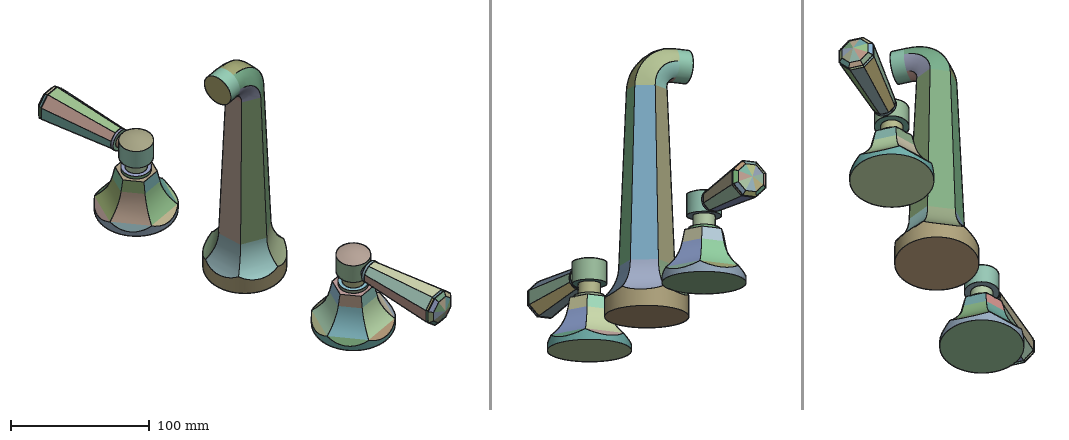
import cadquery as cq
import math

HANDLE_OFFSET = 100.0
OVERALL_LENGTH = 370.5
FOOT_RADIUS = 30.5
HEX_COS = math.cos(math.radians(30))

SPOUT_HEIGHT = 202.7
NOZZLE_RADIUS = 12.2
NOZZLE_REACH = 31.5
BEND_RADIUS = 20.8
NECK_CORNER_RADIUS = 15.0
COLUMN_CORNER_RADIUS = 20.5
COLUMN_FOOT_Z = 37.8
SPOUT_FLARE_RADIUS = 32.0
SPOUT_FLARE_ANGLE = 56
NOZZLE_AXIS_Z = SPOUT_HEIGHT - NOZZLE_RADIUS
COLUMN_TOP_Z = NOZZLE_AXIS_Z - BEND_RADIUS

PEDESTAL_HEIGHT = 38.0
PEDESTAL_TOP_APOTHEM = 13.5
PEDESTAL_WAIST_Z = 28.0
PEDESTAL_WAIST_APOTHEM = 15.2
PEDESTAL_SKIRT_Z = 8.0
PEDESTAL_SKIRT_APOTHEM = FOOT_RADIUS * HEX_COS

COLLAR_RADIUS = 11.0
COLLAR_TOP_Z = 40.8
STEM_RADIUS = 8.0
CAP_RADIUS = 12.5
CAP_BOTTOM_Z = 50.0
CAP_TOP_Z = 66.0
DOME_HEIGHT = 2.5

LEVER_AXIS_Z = 57.8
LEVER_TIP = OVERALL_LENGTH / 2 - HANDLE_OFFSET
NECK_RADIUS = 5.5
RING_RADIUS = 8.5
RING_START = 14.5
RING_THICKNESS = 2.2
GRIP_SIDES = 8
GRIP_START = RING_START + RING_THICKNESS
GRIP_START_APOTHEM = 8.0
GRIP_END = 77.0
GRIP_END_APOTHEM = 13.0
GROOVE_DEPTH = 1.0
GROOVE_WIDTH = 1.0
BEAD_WIDTH = 1.0
POINT_LENGTH = 3.5
POINT_APOTHEM = 10.0


def hexagonal_column(half_profile):
    """Hexagonal solid, flats facing X, whose apothem follows a profile in the XZ plane."""
    slab = half_profile.mirrorY().extrude(2 * FOOT_RADIUS, both=True)
    column = slab
    for turn in (60, 120):
        column = column.intersect(slab.rotate((0, 0, 0), (0, 0, 1), turn))
    return column


def upright_cylinder(radius, bottom, top):
    return cq.Workplane("XY").workplane(offset=bottom).circle(radius).extrude(top - bottom)


def spout_column():
    """Tapered hexagonal column whose foot flares out to the round base."""
    top_apothem = NECK_CORNER_RADIUS * HEX_COS
    foot_apothem = COLUMN_CORNER_RADIUS * HEX_COS
    flare_center_x = foot_apothem + SPOUT_FLARE_RADIUS

    def flare_point(angle):
        """Point on the flare, in degrees of arc below the foot of the column."""
        return (
            flare_center_x - SPOUT_FLARE_RADIUS * math.cos(math.radians(angle)),
            COLUMN_FOOT_Z - SPOUT_FLARE_RADIUS * math.sin(math.radians(angle)),
        )

    flare_end = flare_point(SPOUT_FLARE_ANGLE)
    profile = (
        cq.Workplane("XZ")
        .moveTo(0, COLUMN_TOP_Z)
        .lineTo(top_apothem, COLUMN_TOP_Z)
        .lineTo(foot_apothem, COLUMN_FOOT_Z)
        .threePointArc(flare_point(SPOUT_FLARE_ANGLE / 2), flare_end)
        .lineTo(flare_end[0], 0)
        .lineTo(0, 0)
    )
    column = hexagonal_column(profile).rotate((0, 0, 0), (0, 0, 1), 30)
    return column.intersect(upright_cylinder(FOOT_RADIUS, 0, COLUMN_TOP_Z))


def nozzle_plane():
    """Plane at the end of the bend, facing out of the nozzle."""
    return cq.Plane((0, -BEND_RADIUS, NOZZLE_AXIS_Z), xDir=(1, 0, 0), normal=(0, -1, 0))


def six_arc_circle():
    """Nozzle circle split into six arcs, one for each side of the column."""
    outline = cq.Workplane(nozzle_plane()).moveTo(NOZZLE_RADIUS, 0)
    for side in range(6):
        middle = math.radians(60 * side + 30)
        end = math.radians(60 * side + 60)
        outline = outline.threePointArc(
            (NOZZLE_RADIUS * math.cos(middle), NOZZLE_RADIUS * math.sin(middle)),
            (NOZZLE_RADIUS * math.cos(end), NOZZLE_RADIUS * math.sin(end)),
        )
    return outline.close()


def spout_bend():
    """Quarter bend that changes from the hexagonal column to the round nozzle."""
    path = (
        cq.Workplane("YZ")
        .moveTo(0, COLUMN_TOP_Z)
        .radiusArc((-BEND_RADIUS, NOZZLE_AXIS_Z), -BEND_RADIUS)
        .wire()
    )
    hexagon = cq.Workplane("XY", origin=(0, 0, COLUMN_TOP_Z)).polygon(6, 2 * NECK_CORNER_RADIUS)
    sections = [hexagon.val(), six_arc_circle().val()]
    return cq.Workplane("XY").add(cq.Solid.sweep_multi(sections, path.val()))


def spout_nozzle():
    return cq.Workplane(nozzle_plane()).circle(NOZZLE_RADIUS).extrude(NOZZLE_REACH - BEND_RADIUS)


def make_spout():
    return spout_column().union(spout_bend()).union(spout_nozzle())


def handle_pedestal():
    """Flared hexagonal pedestal ending in a skirt cut round by the foot."""
    profile = (
        cq.Workplane("XZ")
        .moveTo(0, PEDESTAL_HEIGHT)
        .lineTo(PEDESTAL_TOP_APOTHEM, PEDESTAL_HEIGHT)
        .lineTo(PEDESTAL_WAIST_APOTHEM, PEDESTAL_WAIST_Z)
        .tangentArcPoint((PEDESTAL_SKIRT_APOTHEM, PEDESTAL_SKIRT_Z), relative=False)
        .lineTo(PEDESTAL_SKIRT_APOTHEM + PEDESTAL_SKIRT_Z, 0)
        .lineTo(0, 0)
    )
    return hexagonal_column(profile).intersect(upright_cylinder(FOOT_RADIUS, 0, PEDESTAL_HEIGHT))


def handle_hub():
    """Collar, stem and domed cap, turned about the handle axis."""
    profile = (
        cq.Workplane("XZ")
        .moveTo(0, PEDESTAL_HEIGHT)
        .lineTo(COLLAR_RADIUS, PEDESTAL_HEIGHT)
        .lineTo(COLLAR_RADIUS, COLLAR_TOP_Z)
        .lineTo(STEM_RADIUS, COLLAR_TOP_Z)
        .lineTo(STEM_RADIUS, CAP_BOTTOM_Z)
        .lineTo(CAP_RADIUS, CAP_BOTTOM_Z)
        .lineTo(CAP_RADIUS, CAP_TOP_Z)
        .radiusArc((0, CAP_TOP_Z + DOME_HEIGHT), -(CAP_RADIUS**2 + DOME_HEIGHT**2) / (2 * DOME_HEIGHT))
        .close()
    )
    return profile.revolve(360, (0, 0, 0), (0, 1, 0))


def lever_cylinder(radius, start, end):
    plane = cq.Plane((start, 0, LEVER_AXIS_Z), xDir=(0, 1, 0), normal=(1, 0, 0))
    return cq.Workplane(plane).circle(radius).extrude(end - start)


def octagon_corners(x, apothem):
    """Corners of an octagon square to the lever, with flats up, down and to the sides."""
    sector = 2 * math.pi / GRIP_SIDES
    radius = apothem / math.cos(sector / 2)
    angles = [sector * (corner + 0.5) for corner in range(GRIP_SIDES)]
    return [cq.Vector(x, radius * math.cos(a), LEVER_AXIS_Z + radius * math.sin(a)) for a in angles]


def octagon_grip():
    """Eight-sided grip with a groove and a bead, closed by an eight-sided point."""
    bead_start = GRIP_END + GROOVE_WIDTH
    stations = [
        (GRIP_START, GRIP_START_APOTHEM),
        (GRIP_END, GRIP_END_APOTHEM),
        (bead_start, GRIP_END_APOTHEM - GROOVE_DEPTH),
        (bead_start + BEAD_WIDTH, GRIP_END_APOTHEM),
        (LEVER_TIP - POINT_LENGTH, POINT_APOTHEM),
    ]
    rings = [octagon_corners(x, apothem) for x, apothem in stations]
    tip = cq.Vector(LEVER_TIP, 0, LEVER_AXIS_Z)
    outlines = [rings[0]]
    for side in range(GRIP_SIDES):
        following = (side + 1) % GRIP_SIDES
        for near, far in zip(rings, rings[1:]):
            outlines.append([near[side], near[following], far[following], far[side]])
        outlines.append([rings[-1][side], rings[-1][following], tip])
    faces = [cq.Face.makeFromWires(cq.Wire.makePolygon(points, close=True)) for points in outlines]
    return cq.Workplane("XY").add(cq.Solid.makeSolid(cq.Shell.makeShell(faces)))


def make_handle():
    """Handle standing on the origin with its lever toward +X."""
    handle = handle_pedestal().union(handle_hub())
    handle = handle.union(lever_cylinder(NECK_RADIUS, 0, RING_START))
    handle = handle.union(lever_cylinder(RING_RADIUS, RING_START, GRIP_START))
    return handle.union(octagon_grip())


spout = make_spout()
handles = cq.Workplane("XY")
for turn in (0, 180):
    placed = make_handle().translate((HANDLE_OFFSET, 0, 0)).rotate((0, 0, 0), (0, 0, 1), turn)
    handles = handles.add(placed.val())

result = cq.Compound.makeCompound([spout.val(), *handles.vals()])